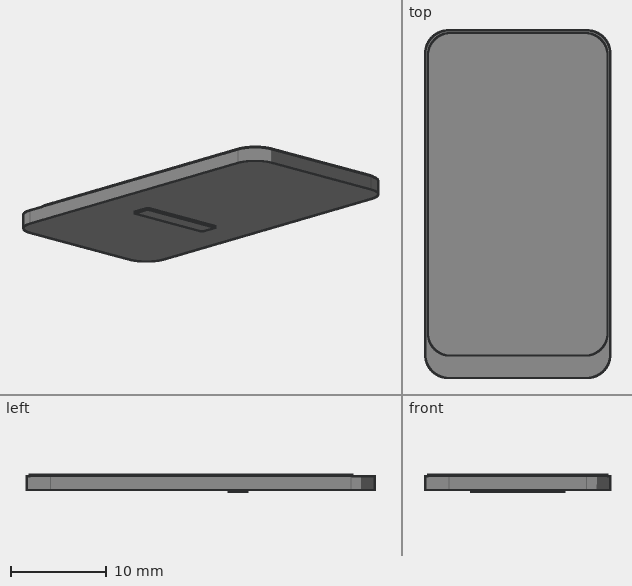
import cadquery as cq

BODY_WIDTH = 19.39
BODY_LENGTH = 36.39
BODY_CORNER_RADIUS = 2.5

TOTAL_HEIGHT = 1.86
PANEL_HEIGHT = 0.2
PAD_HEIGHT = 0.2
BODY_HEIGHT = TOTAL_HEIGHT - PANEL_HEIGHT - PAD_HEIGHT

PANEL_MARGIN = 0.3
PANEL_FRONT_MARGIN = 2.35
PANEL_WIDTH = BODY_WIDTH - 2 * PANEL_MARGIN
PANEL_LENGTH = BODY_LENGTH - PANEL_MARGIN - PANEL_FRONT_MARGIN
PANEL_CORNER_RADIUS = 2.35
PANEL_CENTER_Y = (PANEL_FRONT_MARGIN - PANEL_MARGIN) / 2

PAD_WIDTH = 9.8
PAD_LENGTH = 2.0
PAD_CENTER_Y = -3.9


def block(width, length, height, center_y, bottom_z):
    """Plain plate centred on X = 0, standing on bottom_z."""
    plate = cq.Workplane("XY").box(width, length, height, centered=(True, True, False))
    return plate.translate((0, center_y, bottom_z))


def rounded_block(width, length, height, corner_radius, center_y, bottom_z):
    """Plate with its four vertical corners rounded."""
    return block(width, length, height, center_y, bottom_z).edges("|Z").fillet(corner_radius)


body = rounded_block(BODY_WIDTH, BODY_LENGTH, BODY_HEIGHT, BODY_CORNER_RADIUS, 0, 0)
panel = rounded_block(
    PANEL_WIDTH, PANEL_LENGTH, PANEL_HEIGHT, PANEL_CORNER_RADIUS, PANEL_CENTER_Y, BODY_HEIGHT
)
pad = block(PAD_WIDTH, PAD_LENGTH, PAD_HEIGHT, PAD_CENTER_Y, -PAD_HEIGHT)

result = body.union(panel).union(pad)